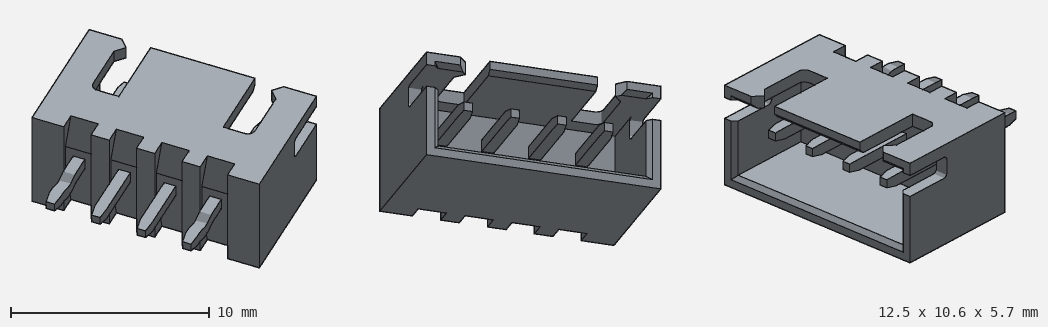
import cadquery as cq
import math


pitch = 2.5
pin_count = 4
end_margin = 2.5
housing_length = (pin_count - 1) * pitch + 2 * end_margin
housing_depth = 7.2
housing_height = 5.7
wall = 0.7
mouth_chamfer = 0.25

cavity_depth = 5.0
cavity_length = housing_length - 2 * wall
cavity_height = housing_height - 2 * wall
mid_height = housing_height / 2

slot_outer_offset = 1.8
slot_inner_offset = 3.38
slot_depth = 4.0
slot_corner_radius = 0.4
catch_height = 0.45
catch_half_length = 0.5

window_depth = 2.8
window_height = 1.2
window_corner_radius = 0.25

recess_width = 1.5
recess_depth = 0.9
recess_land_depth = 0.2
land_top = 4.2
land_bottom = 2.8

pin_size = 0.64
pin_height = 3.39
pin_back_y = -3.4
pin_mouth_setback = 0.8
pin_front_y = housing_depth - pin_mouth_setback
pin_taper_length = 0.6
pin_tip_size = 0.46

kink_center_y = -1.72
kink_angle = math.radians(18)
kink_entry_radius = 1.25
kink_flank_length = 0.23
kink_valley_radius = 1.04

pin_positions = [(i - (pin_count - 1) / 2) * pitch for i in range(pin_count)]


def make_cavity():
    """Rectangular cavity that widens with a chamfer at the mouth."""
    flare_start = housing_depth - mouth_chamfer
    floor_y = housing_depth - cavity_depth
    pocket = cq.Workplane("XY").box(cavity_length, cavity_depth, cavity_height, centered=(True, False, True))
    flare = (
        cq.Workplane("XZ", origin=(0, flare_start, 0))
        .rect(cavity_length, cavity_height)
        .workplane(offset=-mouth_chamfer)
        .rect(cavity_length + 2 * mouth_chamfer, cavity_height + 2 * mouth_chamfer)
        .loft(ruled=True)
    )
    return pocket.translate((0, floor_y, 0)).union(flare).translate((0, 0, mid_height))


def make_top_slot():
    """Left slot of the top wall, narrowed at the mouth by a pointed catch."""
    outer_x = slot_outer_offset - housing_length / 2
    inner_x = slot_inner_offset - housing_length / 2
    end_y = housing_depth - slot_depth
    corner = slot_corner_radius
    corner_mid = corner * (1 - math.sqrt(0.5))
    return (
        cq.Workplane("XY", origin=(0, 0, mid_height))
        .moveTo(inner_x, housing_depth)
        .lineTo(outer_x, housing_depth)
        .lineTo(outer_x + catch_height, housing_depth - catch_half_length)
        .lineTo(outer_x, housing_depth - 2 * catch_half_length)
        .lineTo(outer_x, end_y + corner)
        .threePointArc((outer_x + corner_mid, end_y + corner_mid), (outer_x + corner, end_y))
        .lineTo(inner_x, end_y)
        .close()
        .extrude(housing_height - mid_height)
    )


def make_side_windows():
    """One bar across the whole housing opens a window in both end walls."""
    return (
        cq.Workplane("XY")
        .box(housing_length, window_depth, window_height, centered=(True, False, False))
        .edges("|X and <Y")
        .fillet(window_corner_radius)
        .translate((0, housing_depth - window_depth, housing_height - wall - window_height))
    )


def make_back_recess(x):
    """Recess with a flat land around the pin and faces sloping inward above and below it."""
    return (
        cq.Workplane("YZ", origin=(x - recess_width / 2, 0, 0))
        .polyline([
            (0, 0),
            (recess_depth, 0),
            (recess_land_depth, land_bottom),
            (recess_land_depth, land_top),
            (recess_depth, housing_height),
            (0, housing_height),
        ])
        .close()
        .extrude(recess_width)
    )


def make_housing():
    body = cq.Workplane("XY").box(housing_length, housing_depth, housing_height, centered=(True, False, False))
    slot = make_top_slot()
    body = body.cut(make_cavity()).cut(make_side_windows())
    body = body.cut(slot).cut(slot.mirror("YZ"))
    for x in pin_positions:
        body = body.cut(make_back_recess(x))
    return body


def make_pin_tip(y_base, direction):
    """Tapered end of a pin, pointing along +Y or -Y."""
    return (
        cq.Workplane("XZ", origin=(0, y_base, 0))
        .rect(pin_size, pin_size)
        .workplane(offset=-direction * pin_taper_length)
        .rect(pin_tip_size, pin_tip_size)
        .loft(ruled=True)
    )


def kink_edge(offset):
    """Half of a kinked edge, from the straight tail to the valley, at a height above the pin axis.

    Points are (distance from the kink centre, height): start, middle and end of the entry arc,
    then the start and the bottom of the valley arc.
    """
    entry = kink_entry_radius + offset
    valley = kink_valley_radius - offset
    axis_half_length = (kink_entry_radius + kink_valley_radius) * math.sin(kink_angle)
    half_length = axis_half_length + kink_flank_length * math.cos(kink_angle)
    drop = (kink_entry_radius + kink_valley_radius) * (1 - math.cos(kink_angle))
    valley_z = offset - drop - kink_flank_length * math.sin(kink_angle)

    def entry_point(angle):
        return half_length - entry * math.sin(angle), offset - entry * (1 - math.cos(angle))

    def valley_point(angle):
        return valley * math.sin(angle), valley_z + valley * (1 - math.cos(angle))

    return [
        entry_point(0),
        entry_point(kink_angle / 2),
        entry_point(kink_angle),
        valley_point(kink_angle),
        valley_point(0),
    ]


def add_kink(profile, offset, direction):
    """Draw a whole kinked edge, travelling along +Y or -Y."""
    start, entry_mid, entry_end, valley_start, bottom = kink_edge(offset)

    def before(point):
        return kink_center_y - direction * point[0], point[1]

    def after(point):
        return kink_center_y + direction * point[0], point[1]

    return (
        profile.lineTo(*before(start))
        .threePointArc(before(entry_mid), before(entry_end))
        .lineTo(*before(valley_start))
        .threePointArc(after(bottom), after(valley_start))
        .lineTo(*after(entry_end))
        .threePointArc(after(entry_mid), after(start))
    )


def make_pin(kinked):
    """Square pin along Y, tapered at both ends."""
    half = pin_size / 2
    shank_back = pin_back_y + pin_taper_length
    shank_front = pin_front_y - pin_taper_length
    profile = cq.Workplane("YZ", origin=(-half, 0, 0)).moveTo(shank_front, half)
    if kinked:
        profile = add_kink(profile, half, -1)
    profile = profile.lineTo(shank_back, half).lineTo(shank_back, -half)
    if kinked:
        profile = add_kink(profile, -half, 1)
    shank = profile.lineTo(shank_front, -half).close().extrude(pin_size)
    return shank.union(make_pin_tip(shank_front, 1)).union(make_pin_tip(shank_back, -1))


result = make_housing()
for x in pin_positions:
    is_end_pin = x in (pin_positions[0], pin_positions[-1])
    result = result.union(make_pin(is_end_pin).translate((x, 0, pin_height)))